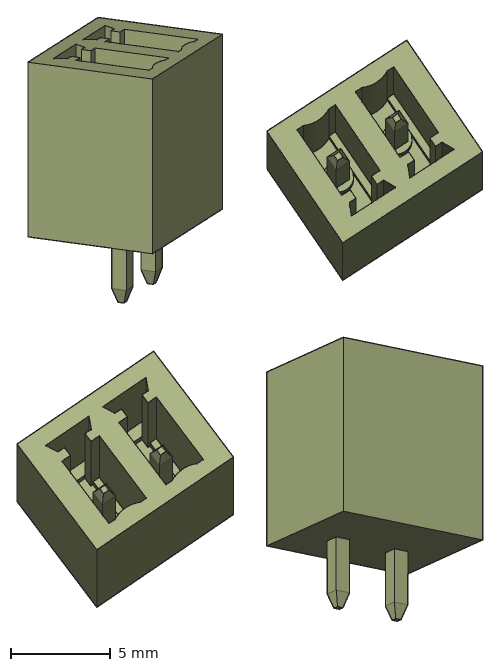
import cadquery as cq


HOUSING_LENGTH = 6.86
HOUSING_WIDTH = 8.41
HOUSING_HEIGHT = 9.15

CONTACT_COUNT = 2
PITCH = 3.5
CONTACT_X = 4.08
CONTACT_ROWS = [(i - (CONTACT_COUNT - 1) / 2) * PITCH for i in range(CONTACT_COUNT)]

PIN_WIDTH = 0.81
PIN_TIP_WIDTH = 0.33
PIN_TIP_LENGTH = 0.76
PIN_BOTTOM = -3.55
PIN_TOP_RECESS = 1.52
PIN_TOP = HOUSING_HEIGHT - PIN_TOP_RECESS

CHANNEL_FLOOR = 2.03
STEP_HEIGHT = 0.51
LEDGE_FLOOR = CHANNEL_FLOOR + STEP_HEIGHT
POCKET_START_X = 2.05
POCKET_END_X = 6.08
POCKET_WIDTH = 2.3
CHANNEL_WIDTH = 1.52
BULGE_HEIGHT = 0.19

DOVETAIL_START_X = 0.9
DOVETAIL_END_X = 1.54
DOVETAIL_OUTER_WIDTH = 2.67
DOVETAIL_INNER_WIDTH = 2.06
NECK_WIDTH = 1.27

COLLAR_DIAMETER = CHANNEL_WIDTH
COLLAR_HEIGHT = STEP_HEIGHT


def pocket_cut(y):
    """Pocket with side ledges, a deeper middle channel and a bulged end wall."""
    length = POCKET_END_X - POCKET_START_X
    middle_x = (POCKET_START_X + POCKET_END_X) / 2
    pocket = (
        cq.Workplane("XY", origin=(middle_x, y, LEDGE_FLOOR))
        .rect(length, POCKET_WIDTH)
        .extrude(HOUSING_HEIGHT - LEDGE_FLOOR)
    )
    channel = (
        cq.Workplane("XY", origin=(middle_x, y, CHANNEL_FLOOR))
        .rect(length, CHANNEL_WIDTH)
        .extrude(HOUSING_HEIGHT - CHANNEL_FLOOR)
    )
    bulge = (
        cq.Workplane("XY", origin=(POCKET_END_X, y, CHANNEL_FLOOR))
        .moveTo(0, -CHANNEL_WIDTH / 2)
        .threePointArc((-BULGE_HEIGHT, 0), (0, CHANNEL_WIDTH / 2))
        .close()
        .extrude(HOUSING_HEIGHT - CHANNEL_FLOOR)
    )
    return pocket.union(channel).cut(bulge)


def latch_cut(y):
    """Dovetail slot at ledge level, with a neck at channel level leading into the pocket."""
    dovetail = (
        cq.Workplane("XY", origin=(0, y, LEDGE_FLOOR))
        .moveTo(DOVETAIL_START_X, -DOVETAIL_OUTER_WIDTH / 2)
        .lineTo(DOVETAIL_END_X, -DOVETAIL_INNER_WIDTH / 2)
        .lineTo(DOVETAIL_END_X, DOVETAIL_INNER_WIDTH / 2)
        .lineTo(DOVETAIL_START_X, DOVETAIL_OUTER_WIDTH / 2)
        .close()
        .extrude(HOUSING_HEIGHT - LEDGE_FLOOR)
    )
    neck = (
        cq.Workplane("XY", origin=((DOVETAIL_END_X + POCKET_START_X) / 2, y, CHANNEL_FLOOR))
        .rect(POCKET_START_X - DOVETAIL_END_X, NECK_WIDTH)
        .extrude(HOUSING_HEIGHT - CHANNEL_FLOOR)
    )
    return dovetail.union(neck)


def square_bar(y, bottom, top):
    """Square bar of the pin's section on a contact axis."""
    return (
        cq.Workplane("XY", origin=(CONTACT_X, y, bottom))
        .rect(PIN_WIDTH, PIN_WIDTH)
        .extrude(top - bottom)
    )


def make_housing():
    """Block with a pocket, a latch slot and a square pin hole for each contact."""
    housing = cq.Workplane("XY").box(
        HOUSING_LENGTH, HOUSING_WIDTH, HOUSING_HEIGHT, centered=(False, True, False)
    )
    for y in CONTACT_ROWS:
        housing = housing.cut(pocket_cut(y)).cut(latch_cut(y))
        housing = housing.cut(square_bar(y, 0, CHANNEL_FLOOR))
    return housing


def pin_tip(y, base_z, direction):
    """Square taper from base_z, pointing up (direction 1) or down (direction -1)."""
    return (
        cq.Workplane("XY", origin=(CONTACT_X, y, base_z))
        .rect(PIN_WIDTH, PIN_WIDTH)
        .workplane(offset=direction * PIN_TIP_LENGTH)
        .rect(PIN_TIP_WIDTH, PIN_TIP_WIDTH)
        .loft(ruled=True)
    )


def make_pin(y):
    """Square contact pin, tapered at both ends."""
    shaft_bottom = PIN_BOTTOM + PIN_TIP_LENGTH
    shaft_top = PIN_TOP - PIN_TIP_LENGTH
    shaft = square_bar(y, shaft_bottom, shaft_top)
    return shaft.union(pin_tip(y, shaft_top, 1)).union(pin_tip(y, shaft_bottom, -1))


def make_collar(y):
    """Round collar with a square hole for the pin."""
    collar_top = CHANNEL_FLOOR + COLLAR_HEIGHT
    disc = (
        cq.Workplane("XY", origin=(CONTACT_X, y, CHANNEL_FLOOR))
        .circle(COLLAR_DIAMETER / 2)
        .extrude(COLLAR_HEIGHT)
    )
    return disc.cut(square_bar(y, CHANNEL_FLOOR, collar_top))


housing = make_housing().solids()
pins = [make_pin(y).solids().val() for y in CONTACT_ROWS]
collars = [make_collar(y).solids().val() for y in CONTACT_ROWS]

result = cq.Compound.makeCompound([housing.val(), *pins, *collars])